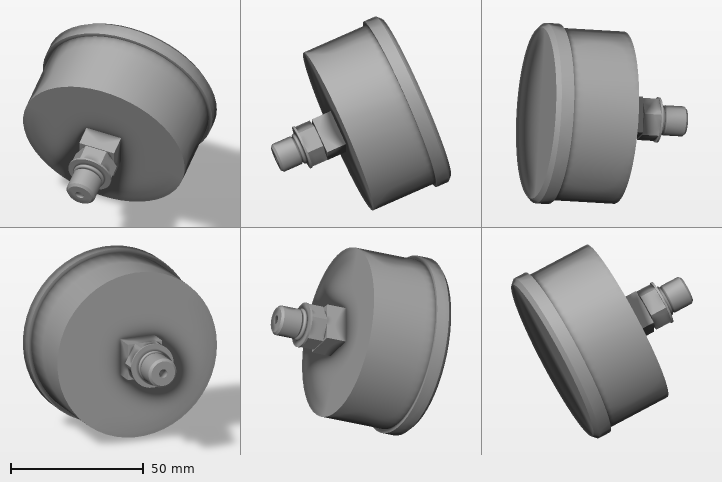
import cadquery as cq
import math

bezel_diameter = 68.1
bezel_length = 6.55
bezel_chamfer = 1.7
case_diameter = 64.95
case_length = 25.45

square_width = 13.95
square_length = 7.7
neck_diameter = 11.4
neck_length = 0.4
hex_across_flats = 14.35
hex_length = 6.4
flange_diameter = 17.1
flange_length = 0.75
seal_diameter = 12.2
seal_thickness = 1.5
thread_diameter = neck_diameter
thread_length = 8.9
thread_root_chamfer = 0.75
thread_tip_chamfer = 0.9
bore_diameter = 3.4

square_end = -square_length
hex_start = square_end - neck_length
flange_start = hex_start - hex_length
flange_end = flange_start - flange_length
thread_start = flange_end - seal_thickness
tip = thread_start - thread_length


def section(y):
    """Sketch plane across the axis at y, extruding toward -Y."""
    return cq.Workplane("XZ", origin=(0, y, 0))


def cylinder(diameter, start, length):
    return section(start).circle(diameter / 2).extrude(length)


def case():
    bezel = cylinder(bezel_diameter, case_length + bezel_length, bezel_length)
    bezel = bezel.faces(">Y").chamfer(bezel_chamfer)
    return bezel.union(cylinder(case_diameter, case_length, case_length))


def wrench_sections():
    square = section(0).rect(square_width, square_width).extrude(square_length)
    neck = cylinder(neck_diameter, square_end, neck_length)
    hex_corner_diameter = hex_across_flats / math.cos(math.pi / 6)
    hexagon = section(hex_start).polygon(6, hex_corner_diameter).extrude(hex_length)
    flange = cylinder(flange_diameter, flange_start, flange_length)
    return square.union(neck).union(hexagon).union(flange)


def seal():
    """Sealing ring with a half-round rim, solid to the axis."""
    bead_radius = seal_thickness / 2
    rim_centre = seal_diameter / 2 - bead_radius
    profile = (
        cq.Workplane("XY")
        .moveTo(0, flange_end)
        .lineTo(rim_centre, flange_end)
        .threePointArc((seal_diameter / 2, flange_end - bead_radius), (rim_centre, thread_start))
        .lineTo(0, thread_start)
        .close()
    )
    return profile.revolve(360, (0, 0, 0), (0, 1, 0))


def thread():
    shank = cylinder(thread_diameter, thread_start, thread_length)
    shank = shank.faces(">Y").chamfer(thread_root_chamfer)
    return shank.faces("<Y").chamfer(thread_tip_chamfer)


bore = cylinder(bore_diameter, 0, -tip)
result = case().union(wrench_sections()).union(seal()).union(thread()).cut(bore)